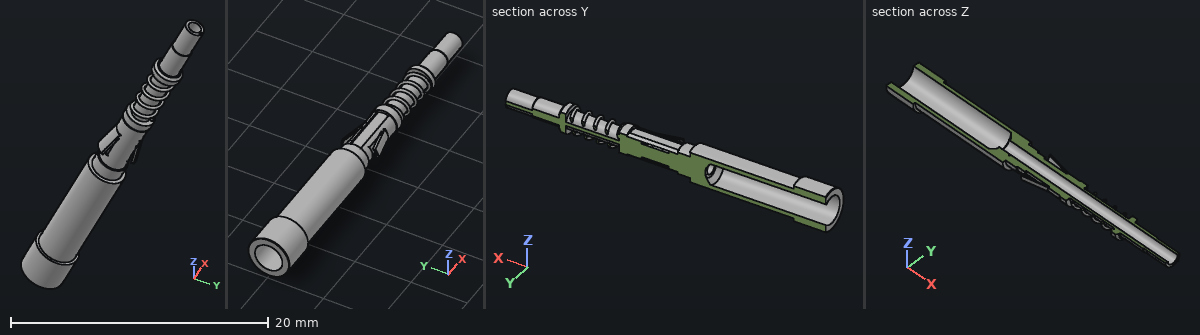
import cadquery as cq
import math

TOTAL_LENGTH = 29.5
PIN_HEIGHT = 0.1
TUBE_END = TOTAL_LENGTH - PIN_HEIGHT

HEAD_DIAMETER = 3.7
HEAD_END = 2.98
HEAD_EDGE = 0.045
BODY_DIAMETER = 3.22
BODY_END = 12.5
COLLAR_DIAMETER = 2.57
COLLAR_END = 13.63
CORE_DIAMETER = 2.0
BAND_DIAMETER = 2.45
BAND_START = 18.25
BAND_END = 19.0
SPINDLE_DIAMETER = 1.6
STOP_START = 23.85
STOP_CHAMFER_LENGTH = 0.18
STOP_CHAMFER_DEPTH = 0.25
STOP_END = 24.5
SHANK_DIAMETER = 1.7
SHANK_END = 26.95

SOCKET_DIAMETER = 2.45
SOCKET_FLOOR_DIAMETER = 1.6
SOCKET_DEPTH = 10.62
SOCKET_CONE_DEPTH = 0.45
BORE_DIAMETER = 1.05

SLEEVE_DIAMETER = 2.3
SLIT_WIDTH = 1.0
BARB_TIP = 14.45
BARB_HINGE = 16.93
BARB_WIDTH = 1.5
BARB_ANGLE = 12.0

WIRE_DIAMETER = 0.268
COIL_DIAMETER = 1.95
EXPOSED_TURNS = 4.5
COIL_PITCH = (STOP_START - BAND_END) / EXPOSED_TURNS
COIL_START = 18.4

PIN_DIAMETER = 0.227
PIN_ANGLE = 45.0
PIN_CIRCLE_RADIUS = (SPINDLE_DIAMETER + BORE_DIAMETER) / 4


def rod(diameter, start, end):
    """Solid cylinder about the X axis."""
    return cq.Workplane("YZ", origin=(start, 0, 0)).circle(diameter / 2).extrude(end - start)


def stepped_shaft():
    head = rod(HEAD_DIAMETER, 0, HEAD_END).faces("<X").chamfer(HEAD_EDGE)
    stop = rod(BAND_DIAMETER, STOP_START, STOP_END)
    stop = stop.faces(">X").chamfer(STOP_CHAMFER_LENGTH, STOP_CHAMFER_DEPTH)
    return (
        head.union(rod(BODY_DIAMETER, HEAD_END, BODY_END))
        .union(rod(COLLAR_DIAMETER, BODY_END, COLLAR_END))
        .union(rod(CORE_DIAMETER, COLLAR_END, BAND_START))
        .union(rod(BAND_DIAMETER, BAND_START, BAND_END))
        .union(rod(SPINDLE_DIAMETER, BAND_END, STOP_START))
        .union(stop)
        .union(rod(SHANK_DIAMETER, STOP_END, SHANK_END))
        .union(rod(SPINDLE_DIAMETER, SHANK_END, TUBE_END))
    )


def sleeve_tube(start, end):
    return rod(SLEEVE_DIAMETER, start, end).cut(rod(CORE_DIAMETER, start, end))


def barb_block(side):
    """Box that bounds one barb on the +Y (side=1) or -Y (side=-1) half of the sleeve."""
    return cq.Workplane("XY").box(
        BARB_HINGE - BARB_TIP, SLEEVE_DIAMETER, BARB_WIDTH, centered=(False, True, True)
    ).translate((BARB_TIP, side * SLEEVE_DIAMETER / 2, 0))


def split_sleeve():
    slit = cq.Workplane("XY").box(
        BAND_START - COLLAR_END, SLIT_WIDTH, SLEEVE_DIAMETER, centered=(False, True, False)
    ).translate((COLLAR_END, 0, 0))
    sleeve = sleeve_tube(COLLAR_END, BAND_START).cut(slit)
    for side in (1, -1):
        strip = sleeve_tube(BARB_TIP, BARB_HINGE).intersect(barb_block(side))
        hinge_y = side * SLEEVE_DIAMETER / 2
        barb = strip.rotate((BARB_HINGE, hinge_y, 0), (BARB_HINGE, hinge_y, 1), -side * BARB_ANGLE)
        sleeve = sleeve.cut(barb_block(side)).union(barb)
    return sleeve


def spring():
    """Right-handed coil between the band and the stop; both ends are buried in them."""
    height = STOP_START + WIRE_DIAMETER / 2 - COIL_START
    radius = COIL_DIAMETER / 2
    path = cq.Wire.makeHelix(COIL_PITCH, height, radius)
    lead = COIL_PITCH / (2 * math.pi)
    profile = cq.Workplane(
        cq.Plane(origin=(radius, 0, 0), xDir=(1, 0, 0), normal=(0, radius, lead))
    ).circle(WIRE_DIAMETER / 2)
    coil = profile.sweep(cq.Workplane(obj=path), isFrenet=True)
    return (
        coil.rotate((0, 0, 0), (0, 1, 0), 90)
        .rotate((0, 0, 0), (1, 0, 0), -90)
        .translate((COIL_START, 0, 0))
    )


def bore():
    socket = rod(SOCKET_DIAMETER, 0, SOCKET_DEPTH)
    cone = (
        socket.faces(">X")
        .workplane()
        .circle(SOCKET_DIAMETER / 2)
        .workplane(offset=SOCKET_CONE_DEPTH)
        .circle(SOCKET_FLOOR_DIAMETER / 2)
        .loft(combine=False)
    )
    return socket.union(cone).union(rod(BORE_DIAMETER, 0, TUBE_END))


def end_pin():
    angle = math.radians(PIN_ANGLE)
    y = PIN_CIRCLE_RADIUS * math.cos(angle)
    z = -PIN_CIRCLE_RADIUS * math.sin(angle)
    return rod(PIN_DIAMETER, TUBE_END, TOTAL_LENGTH).translate((0, y, z))


result = stepped_shaft().union(split_sleeve()).union(spring()).cut(bore()).union(end_pin())